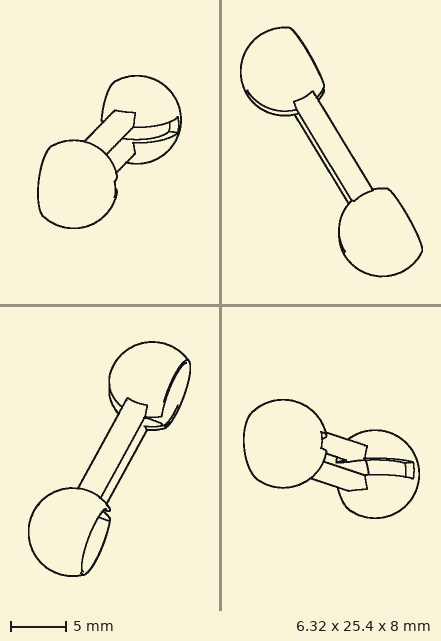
import cadquery as cq
import math

overall_length = 25.45
ball_radius = 4.0
cavity_radius = 3.15
mouth_radius = 3.0
mouth_depth = 2.32
bar_width = 2.0
bars_height = 4.0
slot_height = 1.5
bar_edge_fillet = 0.1

ball_offset = overall_length / 2 - ball_radius
ball_positions = (-ball_offset, ball_offset)
bar_height = (bars_height - slot_height) / 2
bar_end_radius = (ball_radius + cavity_radius) / 2
bar_center_z = (slot_height + bar_height) / 2

rim_half_b = ball_radius + mouth_radius - mouth_depth
rim_c = mouth_depth**2 + mouth_radius**2 - ball_radius**2
rim_radius = -rim_half_b + math.sqrt(rim_half_b**2 - rim_c)
rim_center_x = rim_radius - mouth_depth
rim_center_y = mouth_radius + rim_radius

tangent_scale = ball_radius / (ball_radius - rim_radius)
rim_outer_point = (rim_center_x * tangent_scale, rim_center_y * tangent_scale)
bore_end_x = -math.sqrt(cavity_radius**2 - mouth_radius**2)


def hollow_ball(center_y):
    """Spherical shell, open toward -X through a bore with a rounded rim."""
    section = (
        cq.Workplane("XY")
        .moveTo(ball_radius, 0)
        .threePointArc((0, ball_radius), rim_outer_point)
        .threePointArc((-mouth_depth, rim_center_y), (rim_center_x, mouth_radius))
        .lineTo(bore_end_x, mouth_radius)
        .threePointArc((0, cavity_radius), (cavity_radius, 0))
        .close()
    )
    return section.revolve(360, (0, 0, 0), (1, 0, 0)).translate((0, center_y, 0))


def bar(center_z):
    """Straight bar with softened long edges, ending inside the ball walls."""
    blank = cq.Workplane("XY").box(bar_width, 2 * ball_offset, bar_height)
    trimmed = blank.edges("|Y").fillet(bar_edge_fillet).translate((0, 0, center_z))
    for y in ball_positions:
        trimmed = trimmed.cut(cq.Workplane("XY").sphere(bar_end_radius).translate((0, y, 0)))
    return trimmed


slot = cq.Workplane("XY").box(2 * ball_radius, 2 * ball_offset, slot_height)

result = bar(bar_center_z).union(bar(-bar_center_z))
for y in ball_positions:
    result = result.union(hollow_ball(y).cut(slot))